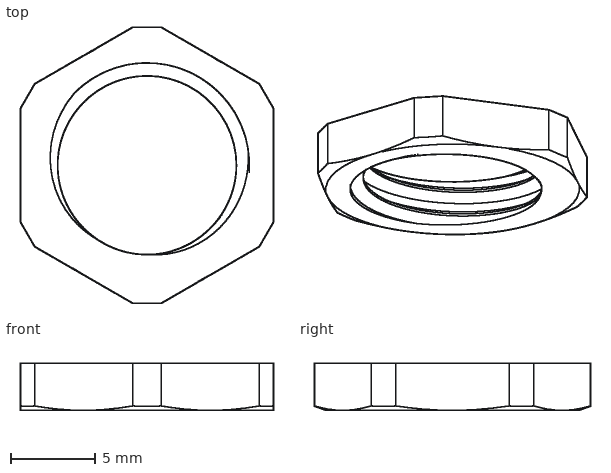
import cadquery as cq
import math

across_flats = 15.0
across_cut_corners = 16.34
thickness = 2.79

chamfer_start_diameter = 15.0
chamfer_angle = 20.0

bore_diameter = 10.57
groove_diameter = 12.12
pitch = 1.5
crest_width = 0.14
groove_root_width = 0.52
groove_angle_at_top = 72.5
spare_turns = 1
groove_overlap = 0.05


def hexagon_prism(flats, height):
    """Upright hexagonal prism with two of its flats facing -Y and +Y."""
    across_corners = flats / math.cos(math.pi / 6)
    return cq.Workplane("XY").polygon(6, across_corners).extrude(height)


def nut_body():
    """Hexagon whose six corners are cut off by a second hexagon turned 30 degrees to it."""
    flats = hexagon_prism(across_flats, thickness).rotate((0, 0, 0), (0, 0, 1), 30)
    corner_cuts = hexagon_prism(across_cut_corners, thickness)
    return flats.intersect(corner_cuts)


def bottom_chamfer_envelope():
    """Cone that widens upwards from the bottom face, capped at the top face."""
    start_radius = chamfer_start_diameter / 2
    outer_radius = start_radius + thickness / math.tan(math.radians(chamfer_angle))
    return (
        cq.Workplane("XZ")
        .polyline([(0, 0), (start_radius, 0), (outer_radius, thickness), (0, thickness)])
        .close()
        .revolve(360, (0, 0, 0), (0, 1, 0))
    )


def thread_groove():
    """Trapezoid swept along a helix that runs past both faces of the nut."""
    bore_radius = bore_diameter / 2
    root_radius = groove_diameter / 2
    mouth_width = pitch - crest_width
    flank_slope = (mouth_width - groove_root_width) / 2 / (root_radius - bore_radius)

    inner_radius = bore_radius - groove_overlap
    inner_half_width = mouth_width / 2 + groove_overlap * flank_slope
    root_half_width = groove_root_width / 2

    turns_below_top = math.ceil(thickness / pitch) + spare_turns
    start_z = thickness - pitch * (turns_below_top + groove_angle_at_top / 360)
    helix_height = pitch * (turns_below_top + 1 + spare_turns)
    helix = cq.Wire.makeHelix(pitch, helix_height, bore_radius).translate(cq.Vector(0, 0, start_z))

    profile = (
        cq.Workplane("XZ")
        .polyline([
            (inner_radius, start_z - inner_half_width),
            (root_radius, start_z - root_half_width),
            (root_radius, start_z + root_half_width),
            (inner_radius, start_z + inner_half_width),
        ])
        .close()
    )
    return profile.sweep(cq.Workplane(obj=helix), isFrenet=True)


bore = cq.Workplane("XY").circle(bore_diameter / 2).extrude(thickness)
blank = nut_body().intersect(bottom_chamfer_envelope())
result = blank.cut(thread_groove()).cut(bore)